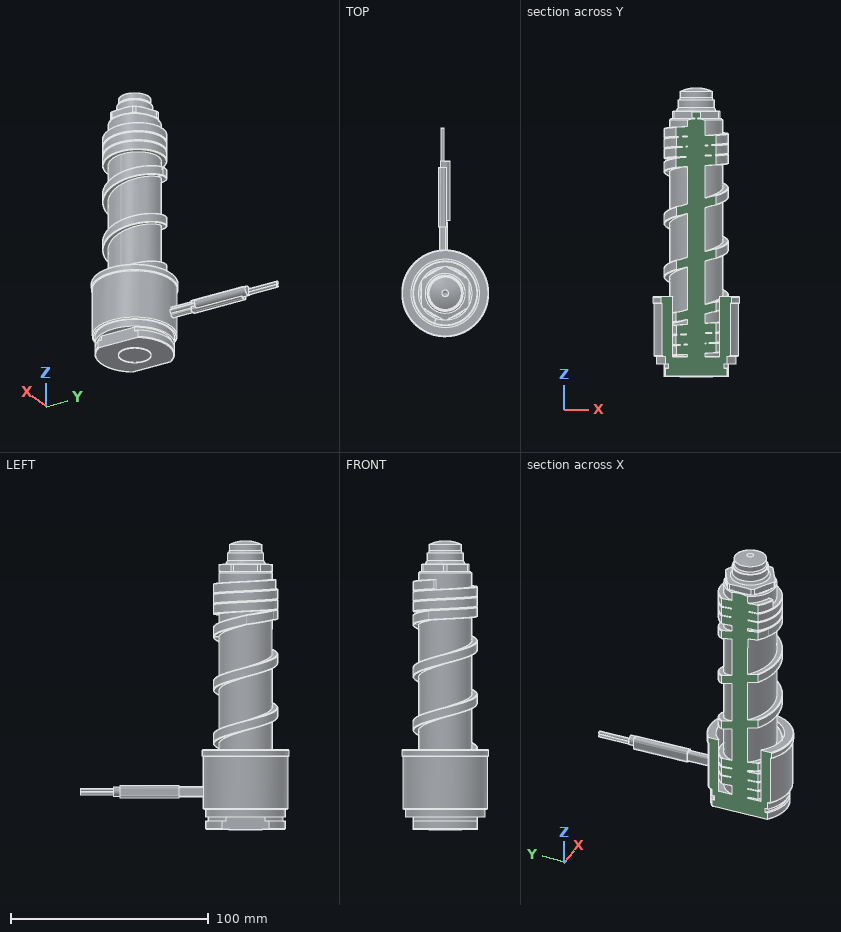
import cadquery as cq
import math

foot_boss_top = 0.4
foot_top = 4.5
foot_groove_top = 6.6
lower_ring_top = 10.4
collar_bottom = 37.2
collar_top = 40.8
tube_top = 130.8
hex_rim_top = 134.2
hex_cone_top = 134.7
shoulder_flare_top = 136.3
shoulder_top = 140.2
neck_taper_top = 141.3
dome_edge = 144.4
dome_apex = 146.36

foot_boss_radius = 8.3
foot_radius = 20.15
foot_groove_radius = 19.0
housing_radius = 21.5
collar_radius = 22.0
bore_radius = 17.3
tube_radius = 13.5
shoulder_radius = 9.15
flare_radius = 10.1
neck_radius = 8.2
neck_foot_radius = 8.6

foot_chamfer = 0.4
housing_chamfer = 0.6
collar_chamfer = 0.4
tube_chamfer = 0.8
foot_across_flats = 32.5
hex_across_flats = 24.2
dimple_radius = 1.8
dimple_depth = 1.0

spring_outer_radius = 16.3
spring_embed = 0.2
wire_height = 5.0
wire_chamfer = 0.3
spring_tip_angle = 250.0
spring_tip_top = 126.8
closed_turns, closed_pitch = 3.03, 5.15
early_turns, early_pitch = 0.16, 14.5
late_turns, late_pitch = 0.25, 24.5
open_turns, open_pitch = 2.35, 27.0
end_windings = [(closed_turns, closed_pitch), (early_turns, early_pitch), (late_turns, late_pitch)]
windings = end_windings + [(open_turns, open_pitch)] + end_windings[::-1]
total_turns = sum(turns for turns, pitch in windings)
spring_rise = sum(turns * pitch for turns, pitch in windings)
spring_bottom = spring_tip_top - wire_height - spring_rise
bore_floor = lower_ring_top

cable_z = 19.4
cable_x = -1.4
cable_start = bore_radius + 1.0
cable_width, cable_height = 3.0, 5.2
sleeve_start, sleeve_length = 33.6, 30.0
cable_corner = 0.6
sleeve_wall = 0.6
round_sleeve_start, round_sleeve_length = 36.8, 30.0
round_sleeve_radius = 2.5
second_cable_radius = 1.1
second_cable_end = 36.1
lead_radius = 0.8
lead_spacing = 1.7
lead_end = 83.5
lead_embed = 5.0


def cylinder(radius, z_low, z_high):
    return cq.Workplane("XY").workplane(offset=z_low).circle(radius).extrude(z_high - z_low)


def make_foot():
    """Foot disc with a relief groove, two flats and a low central boss."""
    foot = cylinder(foot_radius, foot_boss_top, foot_top).faces("<Z").chamfer(foot_chamfer)
    foot = foot.union(cylinder(foot_groove_radius, foot_top, foot_groove_top))
    flats = cq.Workplane("XY").box(
        foot_across_flats, 2 * foot_radius, foot_groove_top, centered=(True, True, False)
    )
    return foot.intersect(flats).union(cylinder(foot_boss_radius, 0, foot_boss_top))


def make_housing():
    """Cup around the lower end of the spring, with a collar at its rim."""
    ring = cylinder(foot_radius, foot_groove_top, lower_ring_top)
    wall = cylinder(housing_radius, lower_ring_top, collar_bottom).faces("<Z").chamfer(housing_chamfer)
    collar = cylinder(collar_radius, collar_bottom, collar_top).edges().chamfer(collar_chamfer)
    return ring.union(wall).union(collar).cut(cylinder(bore_radius, bore_floor, collar_top))


def make_tube():
    return cylinder(tube_radius, bore_floor, tube_top).faces(">Z").chamfer(tube_chamfer)


def make_head():
    """Hexagon with a coned top face, a flared round shoulder and a domed neck."""
    crown_mid_radius = neck_radius / 2
    dome_rise = dome_apex - dome_edge
    sphere_radius = (neck_radius**2 + dome_rise**2) / (2 * dome_rise)
    crown_mid_z = dome_apex - sphere_radius + math.sqrt(sphere_radius**2 - crown_mid_radius**2)
    profile = (
        cq.Workplane("XZ")
        .moveTo(0, tube_top)
        .lineTo(tube_radius, tube_top)
        .lineTo(tube_radius, hex_rim_top)
        .lineTo(flare_radius, hex_cone_top)
        .lineTo(shoulder_radius, shoulder_flare_top)
        .lineTo(shoulder_radius, shoulder_top)
        .lineTo(neck_foot_radius, shoulder_top)
        .lineTo(neck_radius, neck_taper_top)
        .lineTo(neck_radius, dome_edge)
        .threePointArc((crown_mid_radius, crown_mid_z), (0, dome_apex))
        .close()
    )
    head = profile.revolve(360, (0, 0, 0), (0, 1, 0))
    hex_across_corners = hex_across_flats / math.cos(math.radians(30))
    hexagon = (
        cq.Workplane("XY")
        .workplane(offset=tube_top)
        .transformed(rotate=(0, 0, 30))
        .polygon(6, hex_across_corners)
        .extrude(dome_apex - tube_top)
    )
    dimple = cq.Solid.makeCone(
        0, dimple_radius, dimple_depth, pnt=cq.Vector(0, 0, dome_apex - dimple_depth)
    )
    return head.intersect(hexagon).cut(cq.Workplane(dimple))


def make_winding(turns, pitch, start_angle, start_z):
    """One constant-pitch stretch of spring wire, swept up from start_z."""
    rise = turns * pitch
    inner = tube_radius - spring_embed
    path = cq.Wire.makeHelix(pitch, rise, spring_outer_radius)
    section = (
        cq.Workplane("XZ")
        .moveTo(inner, 0)
        .lineTo(spring_outer_radius - wire_chamfer, 0)
        .lineTo(spring_outer_radius, wire_chamfer)
        .lineTo(spring_outer_radius, wire_height - wire_chamfer)
        .lineTo(spring_outer_radius - wire_chamfer, wire_height)
        .lineTo(inner, wire_height)
        .close()
    )
    stretch = section.sweep(cq.Workplane(path), isFrenet=True)
    return stretch.rotate((0, 0, 0), (0, 0, 1), start_angle).translate((0, 0, start_z))


def add_spring(body):
    angle = spring_tip_angle - 360 * total_turns
    z = spring_bottom
    for turns, pitch in windings:
        body = body.union(make_winding(turns, pitch, angle, z))
        angle += 360 * turns
        z += turns * pitch
    return body


def rod_along_y(radius, x, z, y_start, y_end):
    axis_start = cq.Vector(x, y_start, z)
    return cq.Workplane(cq.Solid.makeCylinder(radius, y_end - y_start, axis_start, cq.Vector(0, 1, 0)))


def cable_jacket(wall, y_start, y_end):
    """Flat cable thickened by wall all round, with four rounded long edges."""
    width = cable_width + 2 * wall
    height = cable_height + 2 * wall
    return (
        cq.Workplane("XY")
        .box(width, y_end - y_start, height, centered=(True, False, True))
        .edges("|Y")
        .fillet(cable_corner + wall)
        .translate((cable_x, y_start, cable_z))
    )


def make_cable():
    """Flat cable and sleeve, a second cable with a round sleeve, and two bare leads."""
    round_sleeve_end = round_sleeve_start + round_sleeve_length
    cable = cable_jacket(0, cable_start, sleeve_start)
    cable = cable.union(cable_jacket(sleeve_wall, sleeve_start, sleeve_start + sleeve_length))
    cable = cable.union(rod_along_y(second_cable_radius, 0, cable_z, cable_start, second_cable_end))
    cable = cable.union(rod_along_y(round_sleeve_radius, 0, cable_z, round_sleeve_start, round_sleeve_end))
    for side in (-1, 1):
        lead_z = cable_z + side * lead_spacing / 2
        lead = rod_along_y(lead_radius, cable_x, lead_z, round_sleeve_end - lead_embed, lead_end)
        cable = cable.union(lead)
    return cable


body = make_foot().union(make_housing()).union(make_tube()).union(make_head())
result = add_spring(body).union(make_cable())